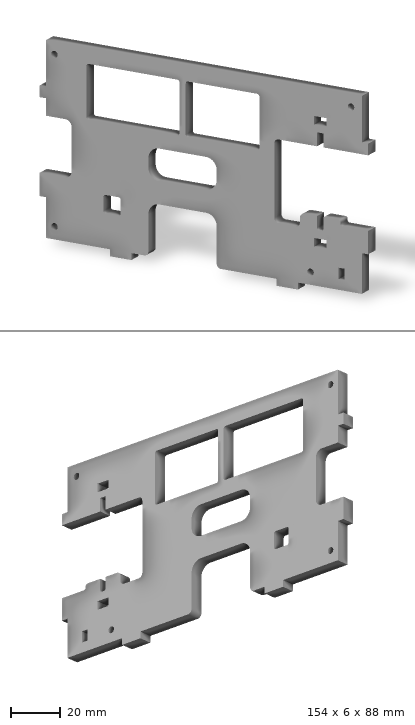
import cadquery as cq

thickness = 6.0
body_width = 148.0
body_height = 85.0

tab_reach = 3.0
tab_length = 10.0
upper_tab_bottom = 60.0
upper_tab_top = 65.0
lower_tab_top = 27.5
foot_tab_starts = (30.0, 108.0)

screw_diameter = 3.0
left_screw_x = 4.0
upper_screw_z = 79.5
lower_screw_z = 5.5
upper_right_screw_x = 143.0
lower_right_screw_x = 124.0
screw_centers = (
    (left_screw_x, upper_screw_z),
    (upper_right_screw_x, upper_screw_z),
    (left_screw_x, lower_screw_z),
    (lower_right_screw_x, lower_screw_z),
)

window_bottom = 54.0
window_top = 78.0
window_radius = 1.0
wide_window_left = 19.0
wide_window_right = 62.5
narrow_window_left = 65.5
narrow_window_right = 100.0

handle_left = 48.0
handle_right = 80.0
handle_radius = 5.0
handle_bottom = 33.0
handle_top = 47.0
bottom_notch_top = 23.0
bottom_notch_lip_radius = 2.0

cable_left = 27.0
cable_bottom = 15.0
cable_size = 8.0
cable_radius = 1.0

vent_left = 137.0
vent_right = 140.0
vent_bottom = 4.5
vent_top = 9.5

left_notch_depth = 12.0
left_notch_top = 52.5
left_notch_radius = 3.0

right_notch_left = 107.0
right_notch_floor = 24.0
land_left = 119.0
land_right = 138.0
land_top = 30.0
right_notch_radius = 2.0
land_radius = 2.0
step_radius = 1.0

joint_center_x = 128.5
joint_slot_width = 3.0
joint_slot_depth = 6.0
lower_joint_slot_radius = 1.0
nut_width = 5.8
nut_height = 3.8
upper_nut_bottom = 69.0
lower_nut_bottom = 16.6


def block(left, right, bottom, top, radius=0.0):
    """Full-thickness block with optional rounding of its four edges along Y."""
    solid = cq.Workplane("XY").box(right - left, thickness, top - bottom, centered=False)
    solid = solid.translate((left, 0, bottom))
    if radius > 0:
        solid = solid.edges("|Y").fillet(radius)
    return solid


def round_corners(solid, corners, radius):
    """Fillet the edges along Y that pass through the given (X, Z) corners."""
    margin = 0.1
    for x, z in corners:
        selector = cq.selectors.BoxSelector(
            (x - margin, -margin, z - margin),
            (x + margin, thickness + margin, z + margin),
        )
        solid = solid.edges(selector).fillet(radius)
    return solid


def make_body():
    body = block(0, body_width, 0, body_height)
    tab_spans = (
        (lower_tab_top - tab_length, lower_tab_top),
        (upper_tab_bottom, upper_tab_top),
    )
    for bottom, top in tab_spans:
        body = body.union(block(-tab_reach, body_width + tab_reach, bottom, top))
    for start in foot_tab_starts:
        body = body.union(block(start, start + tab_length, -tab_reach, 0))
    return body


def cut_left_notch(body):
    body = body.cut(block(-tab_reach, left_notch_depth, lower_tab_top, left_notch_top))
    corners = [(left_notch_depth, lower_tab_top), (left_notch_depth, left_notch_top)]
    return round_corners(body, corners, left_notch_radius)


def cut_bottom_notch(body):
    body = body.cut(block(handle_left, handle_right, 0, bottom_notch_top))
    sides = (handle_left, handle_right)
    body = round_corners(body, [(x, bottom_notch_top) for x in sides], handle_radius)
    return round_corners(body, [(x, 0) for x in sides], bottom_notch_lip_radius)


def cut_right_notch(body):
    outer_x = body_width + tab_reach
    body = body.cut(block(right_notch_left, land_left, right_notch_floor, upper_tab_bottom))
    body = body.cut(block(land_left, outer_x, land_top, upper_tab_bottom))
    body = body.cut(block(land_right, outer_x, lower_tab_top, land_top))
    notch_corners = [
        (right_notch_left, upper_tab_bottom),
        (right_notch_left, right_notch_floor),
        (land_left, right_notch_floor),
    ]
    step_corners = [(land_right, land_top), (land_right, lower_tab_top)]
    body = round_corners(body, notch_corners, right_notch_radius)
    body = round_corners(body, [(land_left, land_top)], land_radius)
    return round_corners(body, step_corners, step_radius)


def cut_nut_joints(body):
    slot_left_side = joint_center_x - joint_slot_width / 2
    slot_right_side = joint_center_x + joint_slot_width / 2
    nut_side = joint_center_x - nut_width / 2
    lower_slot_bottom = land_top - joint_slot_depth
    for bottom in (upper_tab_bottom, lower_slot_bottom):
        body = body.cut(block(slot_left_side, slot_right_side, bottom, bottom + joint_slot_depth))
    lower_slot_corners = [(slot_left_side, lower_slot_bottom), (slot_right_side, lower_slot_bottom)]
    body = round_corners(body, lower_slot_corners, lower_joint_slot_radius)
    for bottom in (upper_nut_bottom, lower_nut_bottom):
        body = body.cut(block(nut_side, nut_side + nut_width, bottom, bottom + nut_height))
    return body


def cut_openings(body):
    openings = (
        block(wide_window_left, wide_window_right, window_bottom, window_top, window_radius),
        block(narrow_window_left, narrow_window_right, window_bottom, window_top, window_radius),
        block(handle_left, handle_right, handle_bottom, handle_top, handle_radius),
        block(
            cable_left, cable_left + cable_size, cable_bottom, cable_bottom + cable_size, cable_radius
        ),
        block(vent_left, vent_right, vent_bottom, vent_top),
    )
    for opening in openings:
        body = body.cut(opening)
    return body


def drill_screw_holes(body):
    for x, z in screw_centers:
        drill = cq.Workplane("XZ", origin=(x, 0, z)).circle(screw_diameter / 2).extrude(-thickness)
        body = body.cut(drill)
    return body


result = make_body()
result = cut_left_notch(result)
result = cut_bottom_notch(result)
result = cut_right_notch(result)
result = cut_nut_joints(result)
result = cut_openings(result)
result = drill_screw_holes(result)